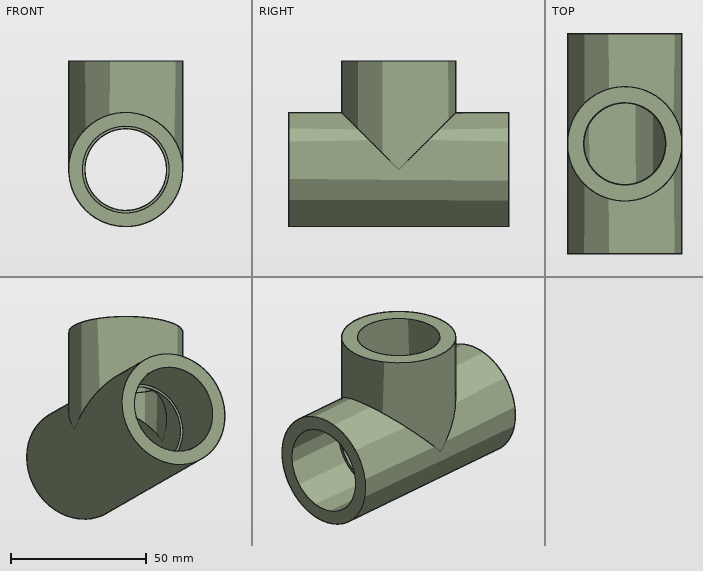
import cadquery as cq

run_length = 81.0
overall_height = 61.0
outer_diameter = 42.0
branch_height = overall_height - outer_diameter / 2

run_socket_diameter = 31.9
branch_socket_diameter = 30.3
bore_diameter = 30.0
run_socket_depth = 25.3
branch_socket_depth = 19.0


def run_cylinder(diameter, y_start, length):
    """Cylinder on the run axis, extending along +Y from y_start."""
    plane = cq.Plane(origin=(0, y_start, 0), xDir=(1, 0, 0), normal=(0, 1, 0))
    return cq.Workplane(plane).circle(diameter / 2).extrude(length)


def branch_cylinder(diameter, z_start, length):
    """Cylinder on the branch axis, extending along +Z from z_start."""
    return cq.Workplane("XY", origin=(0, 0, z_start)).circle(diameter / 2).extrude(length)


body = run_cylinder(outer_diameter, -run_length / 2, run_length)
body = body.union(branch_cylinder(outer_diameter, 0, branch_height))

body = body.cut(run_cylinder(bore_diameter, -run_length / 2, run_length))
body = body.cut(branch_cylinder(bore_diameter, 0, branch_height))

for socket_start in (-run_length / 2, run_length / 2 - run_socket_depth):
    body = body.cut(run_cylinder(run_socket_diameter, socket_start, run_socket_depth))
branch_shoulder = branch_height - branch_socket_depth
body = body.cut(branch_cylinder(branch_socket_diameter, branch_shoulder, branch_socket_depth))

result = body